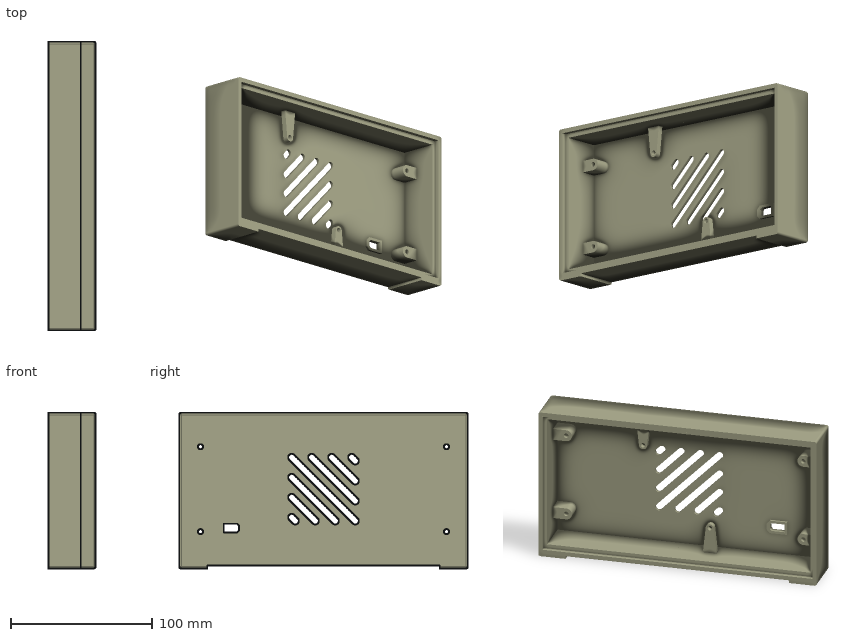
import cadquery as cq
import math

DEPTH = 33.5
LENGTH = 204.5
HEIGHT = 110.4
SEAM_X = 23.0
EDGE_RADIUS = 1.5

FOOT_HEIGHT = 2.0
FOOT_LENGTH = 20.0
CENTER_Z = FOOT_HEIGHT / 2
BOX_HEIGHT = HEIGHT - FOOT_HEIGHT

RIM = 3.0
REBATE_DEPTH = 3.5
LEDGE_Y = 2.5
LEDGE_Z = 3.0
FLOOR_THICKNESS = 2.2
FLOOR_X = DEPTH - FLOOR_THICKNESS
REBATE_LENGTH = LENGTH - 2 * RIM
REBATE_HEIGHT = BOX_HEIGHT - 2 * RIM
CAVITY_LENGTH = REBATE_LENGTH - 2 * LEDGE_Y
CAVITY_HEIGHT = REBATE_HEIGHT - 2 * LEDGE_Z

SCREW_HOLE_DIAMETER = 3.5
MOUNT_FRONT_X = 19.2
BOSS_WIDTH = 8.4
BOSS_Y = LENGTH / 2 - 15.1
BOSS_Z_PITCH = 60.0
ARM_TIP_DIAMETER = 6.0
ARM_ROOT_WIDTH = 10.0
ARM_TIP_Z = 29.0
UPPER_ARM_Y = 30.7
LOWER_ARM_Y = -18.4

SLOT_WIDTH = 5.0
SLOT_SPACING = 10.0
VENT_SIDE = 45.0
SLOTS_PER_SIDE = 3

PORT_Y = -65.2
PORT_Z = -26.5
PORT_LENGTH = 10.6
PORT_HEIGHT = 6.0
PORT_CHAMFER = 1.2
COLLAR_LENGTH = 15.0
COLLAR_HEIGHT = 9.6
COLLAR_Y = -64.8
COLLAR_CHAMFER = 2.5
COLLAR_STANDOFF = 1.74
COLLAR_FRONT_X = FLOOR_X - COLLAR_STANDOFF


def block(x_start, x_end, length, height, y=0.0, z=0.0):
    """Box from x_start to x_end, centred on (y, z)."""
    size_x = x_end - x_start
    return cq.Workplane("XY").box(size_x, length, height).translate((x_start + size_x / 2, y, z))


def rod(x_start, x_end, diameter, y, z):
    """Cylinder along X centred on (y, z)."""
    return (
        cq.Workplane("YZ", origin=(x_start, 0, 0))
        .center(y, z)
        .circle(diameter / 2)
        .extrude(x_end - x_start)
    )


def outer_shell():
    """Rounded box with feet, hollowed from the front."""
    shell = block(0, DEPTH, LENGTH, HEIGHT)
    shell = shell.edges("|X").fillet(EDGE_RADIUS)
    shell = shell.faces(">X").edges().fillet(EDGE_RADIUS)
    foot_gap_z = (FOOT_HEIGHT - HEIGHT) / 2
    shell = shell.cut(block(0, DEPTH, LENGTH - 2 * FOOT_LENGTH, FOOT_HEIGHT, z=foot_gap_z))
    shell = shell.cut(block(0, REBATE_DEPTH, REBATE_LENGTH, REBATE_HEIGHT, z=CENTER_Z))
    return shell.cut(block(0, FLOOR_X, CAVITY_LENGTH, CAVITY_HEIGHT, z=CENTER_Z))


def boss_positions():
    return [
        (side, side * BOSS_Y, CENTER_Z + level * BOSS_Z_PITCH / 2)
        for side in (-1, 1)
        for level in (-1, 1)
    ]


def add_bosses(shell):
    """Round-nosed bosses from the end walls, each with a screw hole through to the back."""
    web_length = CAVITY_LENGTH / 2 - BOSS_Y
    for side, y, z in boss_positions():
        web = block(MOUNT_FRONT_X, FLOOR_X, web_length, BOSS_WIDTH, y + side * web_length / 2, z)
        shell = shell.union(web).union(rod(MOUNT_FRONT_X, FLOOR_X, BOSS_WIDTH, y, z))
    for _, y, z in boss_positions():
        shell = shell.cut(rod(0, DEPTH, SCREW_HOLE_DIAMETER, y, z))
    return shell


def arm(y, direction):
    """Tapered arm from the top (direction 1) or bottom (-1) wall with a hole in its round tip."""
    tip_z = CENTER_Z + direction * ARM_TIP_Z
    root_z = CENTER_Z + direction * CAVITY_HEIGHT / 2
    taper = (
        cq.Workplane("YZ", origin=(MOUNT_FRONT_X, 0, 0))
        .moveTo(y - ARM_ROOT_WIDTH / 2, root_z)
        .lineTo(y - ARM_TIP_DIAMETER / 2, tip_z)
        .threePointArc((y, tip_z - direction * ARM_TIP_DIAMETER / 2), (y + ARM_TIP_DIAMETER / 2, tip_z))
        .lineTo(y + ARM_ROOT_WIDTH / 2, root_z)
        .close()
        .extrude(SEAM_X - MOUNT_FRONT_X)
    )
    return taper.cut(rod(MOUNT_FRONT_X, SEAM_X, SCREW_HOLE_DIAMETER, y, tip_z))


def vent_slots():
    """Diagonal slots, shorter the further they lie from the middle one."""
    step = SLOT_SPACING * math.sqrt(2)
    slots = cq.Workplane("YZ", origin=(FLOOR_X, 0, 0))
    cutter = None
    for index in range(-SLOTS_PER_SIDE, SLOTS_PER_SIDE + 1):
        shift = index * step / 2
        span = (VENT_SIDE - abs(index) * step) * math.sqrt(2)
        slot = (
            slots.center(shift, CENTER_Z + shift)
            .slot2D(span + SLOT_WIDTH, SLOT_WIDTH, -45)
            .extrude(FLOOR_THICKNESS)
        )
        cutter = slot if cutter is None else cutter.union(slot)
    return cutter


def chamfered_block(x_end, length, height, y, chamfer):
    """Box from the collar front to x_end at port height, with its +Y corners chamfered."""
    return block(COLLAR_FRONT_X, x_end, length, height, y, PORT_Z).edges("|X and >Y").chamfer(chamfer)


def add_port(cover):
    """Connector opening with a raised collar around it on the inside."""
    collar = chamfered_block(FLOOR_X, COLLAR_LENGTH, COLLAR_HEIGHT, COLLAR_Y, COLLAR_CHAMFER)
    opening = chamfered_block(DEPTH, PORT_LENGTH, PORT_HEIGHT, PORT_Y, PORT_CHAMFER)
    return cover.union(collar).cut(opening)


def front_part(shell):
    """Housing: everything in front of the seam, plus the two arms."""
    housing = shell.intersect(block(0, SEAM_X, LENGTH, HEIGHT))
    return housing.union(arm(UPPER_ARM_Y, 1)).union(arm(LOWER_ARM_Y, -1))


def back_part(shell):
    """Cover: everything behind the seam, with vent and connector port."""
    cover = shell.intersect(block(SEAM_X, DEPTH, LENGTH, HEIGHT))
    return add_port(cover.cut(vent_slots()))


bossed_shell = add_bosses(outer_shell())
housing = front_part(bossed_shell)
cover = back_part(bossed_shell)

result = cq.Compound.makeCompound([housing.val(), cover.val()])